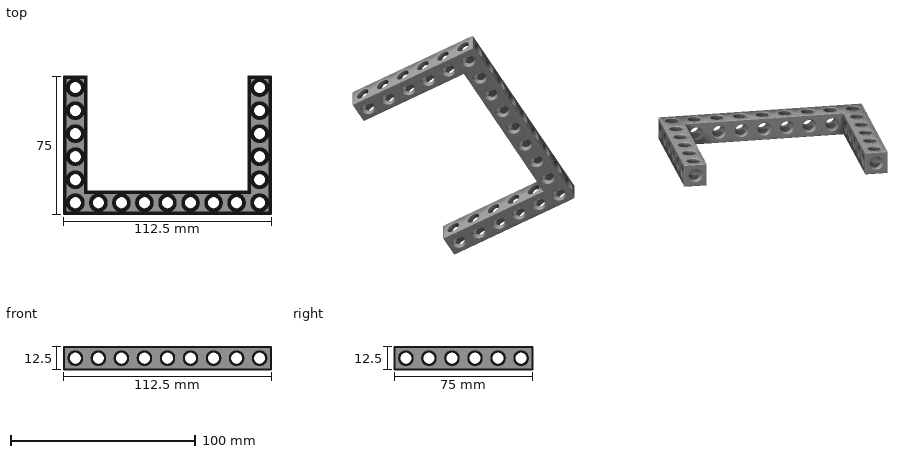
import cadquery as cq

length = 112.5
columns = 9
rows = 6
pitch = length / columns
edge_chamfer = 0.3

hole_diameter = 7.0
hole_chamfer = 0.3
rim_width = 1.1
panel_depth = 0.2
collar_diameter = 9.2

depth = rows * pitch
thickness = pitch
center = pitch / 2

column_places = [center + i * pitch for i in range(columns)]
row_places = [center + i * pitch for i in range(rows)]


def u_shape(inset, bottom, height):
    """U-shaped slab: a base bar along X and two arms along +Y, shrunk by inset."""
    outer = cq.Workplane("XY").box(
        length - 2 * inset, depth - 2 * inset, height, centered=False
    ).translate((inset, inset, bottom))
    gap_width = length - 2 * pitch + 2 * inset
    gap = cq.Workplane("XY").box(
        gap_width, depth, height, centered=False
    ).translate((pitch - inset, pitch - inset, bottom))
    return outer.cut(gap)


def hole_cutter(start, direction, span):
    """Through-hole cutter, flared by the hole chamfer at both ends of its span."""
    radius = hole_diameter / 2
    mouth = radius + hole_chamfer
    profile = (
        cq.Workplane("XZ")
        .moveTo(0, 0)
        .lineTo(mouth, 0)
        .lineTo(radius, hole_chamfer)
        .lineTo(radius, span - hole_chamfer)
        .lineTo(mouth, span)
        .lineTo(0, span)
        .close()
        .revolve(360, (0, 0, 0), (0, 1, 0))
        .val()
    )
    plane = cq.Plane(origin=start, normal=direction)
    return profile.moved(cq.Location(plane))


along_x = (1, 0, 0)
along_y = (0, 1, 0)
along_z = (0, 0, 1)

vertical_places = [(x, center) for x in column_places]
for arm_x in (column_places[0], column_places[-1]):
    vertical_places += [(arm_x, y) for y in row_places[1:]]

left_corner = cq.selectors.NearestToPointSelector((pitch, pitch, center))
right_corner = cq.selectors.NearestToPointSelector((length - pitch, pitch, center))
block = u_shape(0, 0, thickness)
frame = block.edges(-(left_corner + right_corner)).chamfer(edge_chamfer)

panel_floor = thickness - panel_depth
collars = (
    cq.Workplane("XY", origin=(0, 0, panel_floor))
    .pushPoints(vertical_places)
    .circle(collar_diameter / 2)
    .extrude(panel_depth)
)
frame = frame.cut(u_shape(rim_width, panel_floor, panel_depth).cut(collars))

cutters = [hole_cutter((x, y, 0), along_z, thickness) for x, y in vertical_places]

for x in column_places:
    in_arm = x in (column_places[0], column_places[-1])
    cutters.append(hole_cutter((x, 0, center), along_y, depth if in_arm else pitch))

cutters.append(hole_cutter((0, center, center), along_x, length))
for y in row_places[1:]:
    for arm_start in (0, length - pitch):
        cutters.append(hole_cutter((arm_start, y, center), along_x, pitch))

result = frame
for cutter in cutters:
    result = result.cut(cq.Workplane(obj=cutter))